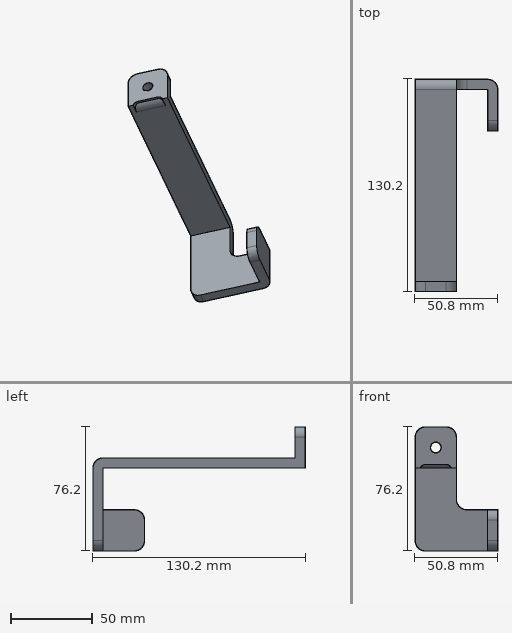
import cadquery as cq

length = 130.2
width = 25.4
thickness = 6.4
corner = thickness
hole_diameter = 6.4

relief_half_width = 9.5
relief_rise = 2.3
relief_end_radius = 3.3

overall_x = 2 * width
overall_z = 3 * width
arm_bottom = 2 * width
arm_top = arm_bottom + thickness
back_inner_y = length - thickness
lip_reach = width + thickness
mid_x = width / 2


def box(x0, x1, y0, y1, z0, z1):
    """Box between two opposite corners."""
    return cq.Workplane("XY").box(x1 - x0, y1 - y0, z1 - z0, centered=False).translate((x0, y0, z0))


def front_tab():
    """Upright tab with rounded top corners and a through hole."""
    tab = box(0, width, 0, thickness, arm_bottom, overall_z)
    tab = tab.edges("|Y and >Z").fillet(corner)
    hole = (
        cq.Workplane("XZ")
        .center(mid_x, overall_z - width / 2)
        .circle(hole_diameter / 2)
        .extrude(-thickness)
    )
    return tab.cut(hole)


def arm():
    """Long horizontal strip."""
    return box(0, width, 0, length, arm_bottom, arm_top)


def back_plate():
    """L-shaped plate hanging from the arm, with a foot toward +X."""
    plate = (
        cq.Workplane("XZ", origin=(0, back_inner_y, 0))
        .polyline([
            (0, 0),
            (overall_x, 0),
            (overall_x, width),
            (width, width),
            (width, arm_bottom),
            (0, arm_bottom),
        ])
        .close()
        .extrude(-thickness)
    )
    plate = plate.edges("|Y").edges("<X and <Z").fillet(corner)
    inner_corner = cq.selectors.NearestToPointSelector((width, back_inner_y + thickness / 2, width))
    return plate.edges("|Y").edges(inner_corner).fillet(corner)


def lip():
    """Plate at the end of the foot, with rounded free corners."""
    plate = box(overall_x - thickness, overall_x, length - lip_reach, back_inner_y, 0, width)
    return plate.edges("|X and <Y").fillet(corner)


def bend_relief():
    """Waste outside the front bend, limited to a low window with rounded upper corners."""
    window = box(
        mid_x - relief_half_width,
        mid_x + relief_half_width,
        0,
        corner,
        arm_bottom - relief_end_radius,
        arm_bottom + relief_rise,
    )
    window = window.edges("|Y and >Z").fillet(relief_end_radius)
    bend = cq.Workplane("YZ").center(corner, arm_bottom + corner).circle(corner).extrude(width)
    return window.cut(bend)


def bent_strip():
    """Arm, back plate and lip joined, with the outside of both bends rounded."""
    strip = arm().union(back_plate()).union(lip()).clean()
    strip = strip.edges("|X and >Y and >Z").fillet(corner)
    return strip.edges("|Z and >X and >Y").fillet(corner)


result = bent_strip().union(front_tab()).cut(bend_relief())